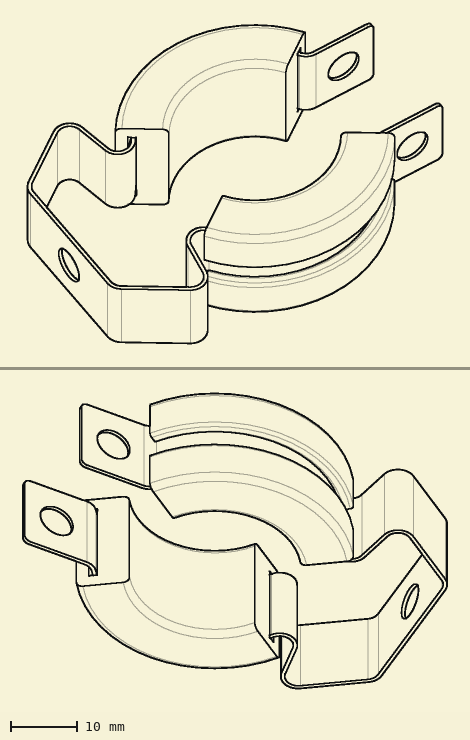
import cadquery as cq
import math

pad_outer_diameter = 42.05
pad_inner_diameter = 25.9
pad_height = 18.0
pad_half_angle = 55.0
pad_edge_fillet = 1.0
groove_width = 4.0
groove_edge_fillet = 0.5

strap_thickness = 0.6
strap_height = 12.7
strap_arc_radius = 18.3
bend_radius = 2.3
overall_length = 61.2
leg_end_y = 27.55
base_outer_y = leg_end_y - overall_length
leg_middle_x = 9.3
arm_length = 5.55
arm_slope = 10.0
flank_slope = 55.0
hole_diameter = 5.5
leg_hole_from_end = 5.45
leg_corner_fillet = 1.0

slot_inner_radius = 17.8
slot_outer_radius = 19.1
slot_end_gap = 0.55
slot_height = strap_height + 2 * slot_end_gap

match_tolerance = 0.005

pad_outer_radius = pad_outer_diameter / 2
pad_inner_radius = pad_inner_diameter / 2


def ring(inner_radius, outer_radius, height):
    """Full ring about the Z axis, centred on Z = 0."""
    return (
        cq.Workplane("XY")
        .workplane(offset=-height / 2)
        .circle(outer_radius)
        .circle(inner_radius)
        .extrude(height)
    )


def fillet_groove_edges(block, edge_radius):
    """Round the two circular edges of the groove that lie at edge_radius."""
    edges = block.edges("%CIRCLE").filter(
        lambda edge: abs(edge.radius() - edge_radius) < match_tolerance
        and abs(abs(edge.Center().z) - groove_width / 2) < match_tolerance
    )
    return edges.fillet(groove_edge_fillet)


def make_pad(facing_angle):
    """Arc-shaped pad whose middle lies at facing_angle, grooved outside and slotted inside."""
    block = (
        cq.Workplane("XZ")
        .moveTo(pad_inner_radius, -pad_height / 2)
        .lineTo(pad_outer_radius, -pad_height / 2)
        .lineTo(pad_outer_radius, pad_height / 2)
        .lineTo(pad_inner_radius, pad_height / 2)
        .close()
        .revolve(2 * pad_half_angle, (0, 0, 0), (0, 1, 0))
        .rotate((0, 0, 0), (0, 0, 1), -pad_half_angle)
    )
    block = block.faces("|Z").edges("%CIRCLE").fillet(pad_edge_fillet)
    slot = ring(slot_inner_radius, slot_outer_radius, slot_height)
    groove = ring(slot_inner_radius, 2 * pad_outer_radius, groove_width)
    block = block.cut(slot).cut(groove)
    block = fillet_groove_edges(block, pad_outer_radius)
    block = fillet_groove_edges(block, slot_outer_radius)
    return block.rotate((0, 0, 0), (0, 0, 1), facing_angle)


def polar(centre, radius, angle):
    """Point at the given angle in degrees on a circle."""
    return (
        centre[0] + radius * math.cos(math.radians(angle)),
        centre[1] + radius * math.sin(math.radians(angle)),
    )


def half_strap():
    """The +X half of the strap, swept from the leg end to the middle of the base."""
    waist_x = leg_middle_x + bend_radius
    waist_y = math.sqrt((strap_arc_radius + bend_radius) ** 2 - waist_x**2)
    tangent_angle = math.degrees(math.atan2(waist_y, waist_x))
    arc_end = polar((0, 0), strap_arc_radius, tangent_angle)

    arm_start = polar((waist_x, -waist_y), bend_radius, -90 - arm_slope)
    arm_end = polar(arm_start, arm_length, -arm_slope)
    side_centre = polar(arm_end, bend_radius, -90 - arm_slope)
    flank_start = polar(side_centre, bend_radius, flank_slope - 90)

    base_y = base_outer_y + strap_thickness / 2
    base_bend_y = base_y + bend_radius
    flank_end_y = base_bend_y - bend_radius * math.cos(math.radians(flank_slope))
    flank_run = (flank_start[1] - flank_end_y) / math.tan(math.radians(flank_slope))
    flank_end = (flank_start[0] - flank_run, flank_end_y)
    base_bend_x = flank_end[0] - bend_radius * math.sin(math.radians(flank_slope))

    path = (
        cq.Workplane("XY")
        .moveTo(leg_middle_x, leg_end_y)
        .lineTo(leg_middle_x, waist_y)
        .tangentArcPoint(arc_end, relative=False)
        .threePointArc((strap_arc_radius, 0), (arc_end[0], -arc_end[1]))
        .tangentArcPoint(arm_start, relative=False)
        .lineTo(*arm_end)
        .tangentArcPoint(flank_start, relative=False)
        .lineTo(*flank_end)
        .tangentArcPoint((base_bend_x, base_y), relative=False)
        .lineTo(0, base_y)
    )
    return (
        cq.Workplane("XZ", origin=(leg_middle_x, leg_end_y, 0))
        .rect(strap_thickness, strap_height)
        .sweep(path)
        .edges("|X and >Y")
        .fillet(leg_corner_fillet)
    )


def make_strap():
    """Symmetrical strap with one hole in each leg and one in the base."""
    half = half_strap()
    strap = half.union(half.mirror("YZ"))
    leg_holes = (
        cq.Workplane("YZ")
        .center(leg_end_y - leg_hole_from_end, 0)
        .circle(hole_diameter / 2)
        .extrude(2 * leg_middle_x, both=True)
    )
    base_hole = (
        cq.Workplane("XZ", origin=(0, base_outer_y, 0))
        .circle(hole_diameter / 2)
        .extrude(2 * strap_thickness, both=True)
    )
    return strap.cut(leg_holes).cut(base_hole)


strap = make_strap()
pads = [make_pad(facing_angle) for facing_angle in (0, 180)]

result = cq.Compound.makeCompound([strap.val(), *[pad.val() for pad in pads]])